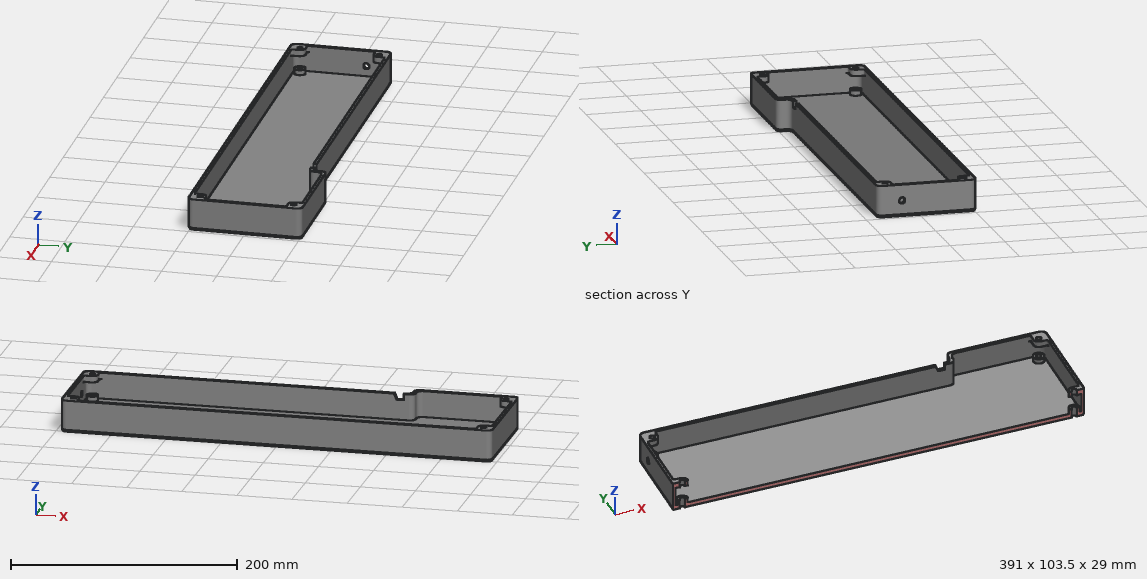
import cadquery as cq

length = 391.0
width = 103.5
height = 29.0
wall = 2.8
floor = 5.0
corner_radius = 5.0
bottom_chamfer_height = 2.0
bottom_chamfer_inset = 0.98

step_x = 297.0
step_depth = 13.0

screw_inset = 9.5
screw_hole = 4.5
boss_diameter = 10.0
boss_height = 4.5
lug_thickness = 6.0
lug_blend = 1.5

side_hole = 5.5
side_hole_y = width - 35.5
side_hole_z = height / 2

notch_floor_start = 284.0
notch_floor_length = 6.3
notch_flank = 2.5
notch_depth = 5.5


def stepped_prism(inset, bottom, top):
    """Rounded L-shaped prism, inset from the outer walls."""
    left = inset
    right = length - inset
    front = inset
    back = width - inset
    step = step_x + inset
    low_back = width - step_depth - inset
    outline = [(left, front), (right, front), (right, back), (step, back), (step, low_back), (left, low_back)]
    prism = cq.Workplane("XY").workplane(offset=bottom).polyline(outline).close().extrude(top - bottom)
    return prism.edges("|Z").fillet(corner_radius)


def tray():
    body = stepped_prism(0, 0, height).faces("<Z").edges().chamfer(bottom_chamfer_height, bottom_chamfer_inset)
    return body.cut(stepped_prism(wall, floor, height))


def corner_lug(x, y, to_right, to_back):
    """Lug filling an upper corner, rounded about the screw and blended into the walls."""
    reach = boss_diameter / 2
    edge = screw_inset + reach
    far = edge + lug_blend
    lug = (
        cq.Workplane("XY")
        .moveTo(0, 0)
        .lineTo(far, 0)
        .lineTo(far, wall)
        .radiusArc((edge, wall + lug_blend), lug_blend)
        .lineTo(edge, screw_inset)
        .radiusArc((screw_inset, edge), -reach)
        .lineTo(wall + lug_blend, edge)
        .radiusArc((wall, far), lug_blend)
        .lineTo(0, far)
        .close()
        .extrude(lug_thickness)
    )
    if not to_right:
        lug = lug.mirror("YZ")
    if not to_back:
        lug = lug.mirror("XZ")
    return lug.translate((x, y, height - lug_thickness))


def notch_cutter():
    bottom = height - notch_depth
    end = notch_floor_start + notch_floor_length
    start = notch_floor_start - notch_flank
    outline = [(start, height), (notch_floor_start, bottom), (end, bottom), (end, height)]
    outer_face = width - step_depth
    clearance = wall / 2
    cutter = cq.Workplane("XZ").polyline(outline).close().extrude(wall + 2 * clearance)
    return cutter.translate((0, outer_face + clearance, 0))


corners = [
    (0, 0, True, True),
    (length, 0, False, True),
    (0, width - step_depth, True, False),
    (length, width, False, False),
]

result = tray()
envelope = stepped_prism(0, bottom_chamfer_height, height)
for x, y, to_right, to_back in corners:
    screw_x = x + (screw_inset if to_right else -screw_inset)
    screw_y = y + (screw_inset if to_back else -screw_inset)
    boss = cq.Workplane("XY").circle(boss_diameter / 2).extrude(floor + boss_height - bottom_chamfer_height)
    hole = cq.Workplane("XY").circle(screw_hole / 2).extrude(height)
    result = result.union(corner_lug(x, y, to_right, to_back).intersect(envelope))
    result = result.union(boss.translate((screw_x, screw_y, bottom_chamfer_height)))
    result = result.cut(hole.translate((screw_x, screw_y, 0)))

side_cutter = cq.Workplane("YZ").center(side_hole_y, side_hole_z).circle(side_hole / 2).extrude(2 * wall)
result = result.cut(side_cutter).cut(notch_cutter())